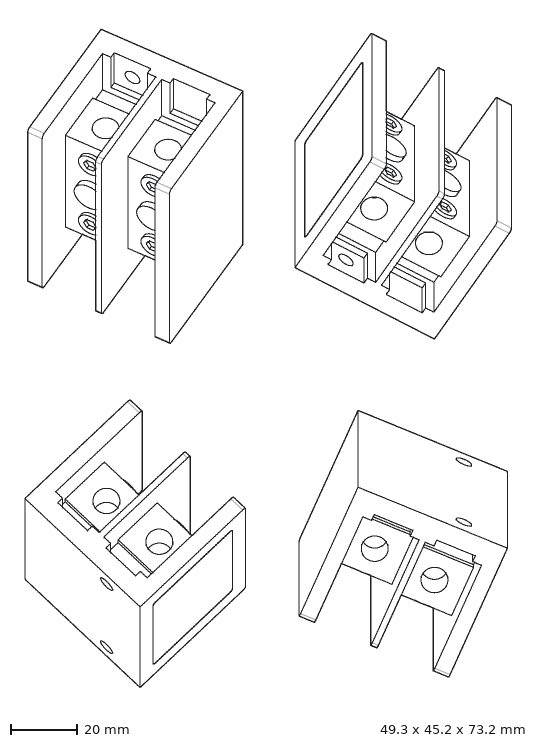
import cadquery as cq
import math

WIDTH = 49.28
DEPTH = 45.21
HEIGHT = 73.15

OUTER_WALL = 5.08
DIVIDER = 2.03
FLOOR_THICKNESS = 8.13
CORNER_RADIUS = 1.27
CHANNEL_WIDTH = (WIDTH - 2 * OUTER_WALL - DIVIDER) / 2
CHANNEL_OFFSET = (CHANNEL_WIDTH + DIVIDER) / 2
LEFT_CHANNEL_X = -CHANNEL_OFFSET
RIGHT_CHANNEL_X = CHANNEL_OFFSET

SLOT_WIDTH = 12.7
SLOT_LENGTH = 14.4
SLOT_DEPTH = 2.03

MOUNT_HOLE_DIAMETER = 5.08
MOUNT_HOLE_Z = 28.58

BLOCK_HEIGHT = 43.69
BLOCK_DEPTH = 16.76
LEFT_PEDESTAL = 6.1
RIGHT_PEDESTAL = 4.06
PEDESTAL_SETBACK = 2.54

STUD_DIAMETER = 10.16
STUD_PROJECTION = 2.03
SCREW_DIAMETER = 8.13
SCREW_PROJECTION = 1.2
SCREW_Z = 14.1
HEX_FLATS = 3.81
HEX_CORNERS = HEX_FLATS / math.cos(math.pi / 6)
HEX_DEPTH = 1.2
WIRE_HOLE_DIAMETER = 8.13
WIRE_HOLE_DEPTH = 12.7

LABEL_DEPTH_Y = 34.0
LABEL_HEIGHT = 55.0
LABEL_RADIUS = 1.27
LABEL_RECESS = 0.1


def box(width, depth, height, x, back_y, z):
    """Box centred on x and z that runs from back_y toward -Y."""
    return cq.Workplane("XY").box(width, depth, height).translate((x, back_y - depth / 2, z))


def front_plane(x, y, z):
    """Workplane facing -Y with its origin at the given point."""
    return cq.Workplane("XZ", origin=(x, y, z))


def make_housing():
    body = box(WIDTH, DEPTH, HEIGHT, 0, 0, 0)
    body = body.faces("<Y").edges("|X").fillet(CORNER_RADIUS)
    for x in (LEFT_CHANNEL_X, RIGHT_CHANNEL_X):
        body = body.cut(box(CHANNEL_WIDTH, DEPTH, HEIGHT, x, -FLOOR_THICKNESS, 0))
        for end in (-1, 1):
            slot_z = end * (HEIGHT - SLOT_LENGTH) / 2
            slot_back = SLOT_DEPTH - FLOOR_THICKNESS
            body = body.cut(box(SLOT_WIDTH, SLOT_DEPTH, SLOT_LENGTH, x, slot_back, slot_z))
    return body


def cut_mounting_holes(body):
    for end in (-1, 1):
        plane = front_plane(LEFT_CHANNEL_X, 0, end * MOUNT_HOLE_Z)
        body = body.cut(plane.circle(MOUNT_HOLE_DIAMETER / 2).extrude(FLOOR_THICKNESS))
    return body


def cut_label_recess(body):
    label = (
        cq.Workplane("XY")
        .box(LABEL_RECESS, LABEL_DEPTH_Y, LABEL_HEIGHT)
        .edges("|X")
        .fillet(LABEL_RADIUS)
        .translate(((LABEL_RECESS - WIDTH) / 2, -DEPTH / 2, 0))
    )
    return body.cut(label)


def make_screw(x, face_y, z):
    """Round screw head with a hexagonal socket whose flats face up and down."""
    head = front_plane(x, face_y, z).circle(SCREW_DIAMETER / 2).extrude(SCREW_PROJECTION)
    socket = (
        front_plane(x, face_y - SCREW_PROJECTION, z)
        .polygon(6, HEX_CORNERS)
        .extrude(-HEX_DEPTH)
    )
    return head.cut(socket)


def make_terminal(x, pedestal):
    """Pedestal and block with a stud, two screws and a wire hole in each end."""
    pedestal_height = BLOCK_HEIGHT - 2 * PEDESTAL_SETBACK
    block_back_y = -FLOOR_THICKNESS - pedestal
    face_y = block_back_y - BLOCK_DEPTH
    wire_y = face_y + BLOCK_DEPTH / 2
    terminal = box(CHANNEL_WIDTH, pedestal, pedestal_height, x, -FLOOR_THICKNESS, 0)
    terminal = terminal.union(box(CHANNEL_WIDTH, BLOCK_DEPTH, BLOCK_HEIGHT, x, block_back_y, 0))
    stud = front_plane(x, face_y, 0).circle(STUD_DIAMETER / 2).extrude(STUD_PROJECTION)
    terminal = terminal.union(stud)
    for end in (-1, 1):
        terminal = terminal.union(make_screw(x, face_y, end * SCREW_Z))
        hole_plane = cq.Workplane("XY", origin=(x, wire_y, end * BLOCK_HEIGHT / 2))
        wire_hole = hole_plane.circle(WIRE_HOLE_DIAMETER / 2).extrude(-end * WIRE_HOLE_DEPTH)
        terminal = terminal.cut(wire_hole)
    return terminal


housing = make_housing()
housing = cut_mounting_holes(housing)
housing = cut_label_recess(housing)
left_terminal = make_terminal(LEFT_CHANNEL_X, LEFT_PEDESTAL)
right_terminal = make_terminal(RIGHT_CHANNEL_X, RIGHT_PEDESTAL)
result = housing.union(left_terminal).union(right_terminal)